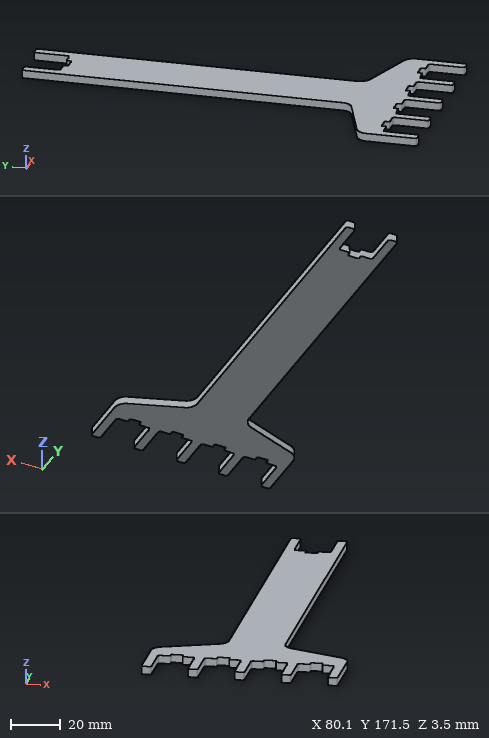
import cadquery as cq
import math

thickness = 3.5
total_length = 171.5
tooth_width = 4.1
tooth_pitch = 19.0
pocket_count = 4
pocket_depth = 15.0
notch_width = 5.0
notch_depth = 2.0
shoulder_height = 24.5
shoulder_angle = 20.0
shoulder_radius = 5.0
corner_radius = 1.0
notch_radius = 0.5

pocket_width = tooth_pitch - tooth_width
head_width = pocket_count * tooth_pitch + tooth_width
handle_width = pocket_width + 2 * tooth_width
bottom = -total_length / 2
top = total_length / 2
shoulder_y = bottom + shoulder_height
shoulder_rise = (head_width - handle_width) / 2 * math.tan(math.radians(shoulder_angle))
neck_y = shoulder_y + shoulder_rise


def make_body():
    """Straight handle widening through sloped, rounded shoulders into the head."""
    half_head = head_width / 2
    half_handle = handle_width / 2
    right_side = [
        (half_head, bottom),
        (half_head, shoulder_y),
        (half_handle, neck_y),
        (half_handle, top),
    ]
    left_side = [(-x, y) for x, y in reversed(right_side)]
    body = cq.Workplane("XY").polyline(right_side + left_side).close().extrude(thickness)
    shoulder_edges = cq.selectors.BoxSelector(
        (-head_width, shoulder_y - shoulder_radius, -thickness),
        (head_width, neck_y + shoulder_radius, 2 * thickness),
    )
    return body.edges("|Z").edges(shoulder_edges).fillet(shoulder_radius)


def round_upright_edge(body, corner, radius):
    """Fillet the vertical edge standing on the given XY corner."""
    edge = cq.selectors.NearestToPointSelector((*corner, thickness / 2))
    return body.edges("|Z").edges(edge).fillet(radius)


def make_pocket(center_x, end_y, inward):
    """Stepped pocket open at end_y; inward is +1 or -1 along Y."""
    shelf_y = end_y + inward * pocket_depth
    notch_y = shelf_y + inward * notch_depth
    half_pocket = pocket_width / 2
    half_notch = notch_width / 2
    right_side = [
        (center_x + half_pocket, end_y),
        (center_x + half_pocket, shelf_y),
        (center_x + half_notch, shelf_y),
        (center_x + half_notch, notch_y),
    ]
    left_side = [(2 * center_x - x, y) for x, y in reversed(right_side)]
    pocket = cq.Workplane("XY").polyline(right_side + left_side).close().extrude(thickness)
    for side in (-1, 1):
        root_corner = (center_x + side * half_pocket, shelf_y)
        mouth_corner = (center_x + side * half_notch, shelf_y)
        floor_corner = (center_x + side * half_notch, notch_y)
        pocket = round_upright_edge(pocket, root_corner, corner_radius)
        pocket = round_upright_edge(pocket, mouth_corner, notch_radius)
        pocket = round_upright_edge(pocket, floor_corner, notch_radius)
    return pocket


plate = make_body()
for index in range(pocket_count):
    pocket_x = (index - (pocket_count - 1) / 2) * tooth_pitch
    plate = plate.cut(make_pocket(pocket_x, bottom, 1))
plate = plate.cut(make_pocket(0, top, -1))

plate = plate.faces("<Y").edges("|Z").fillet(corner_radius)
plate = plate.faces(">Y").edges("|Z").fillet(corner_radius)

result = plate